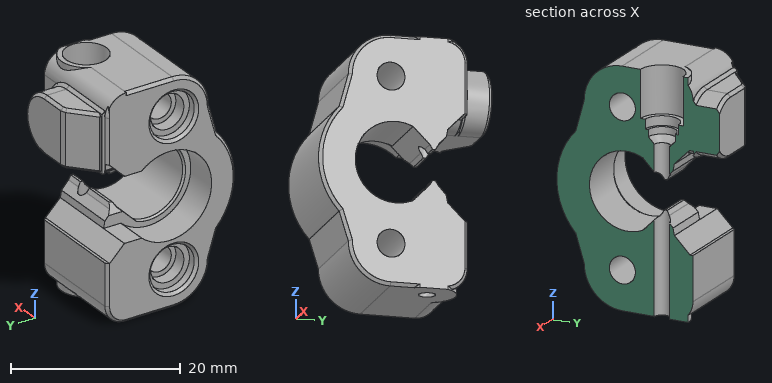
import cadquery as cq
import math

width = 13.8
height = 30.7
left_x = -width / 2
right_x = width / 2
top_z = height / 2
edge_chamfer = 0.4

ring_z = -0.25
ring_radius = 9.4
ring_kink_z = 6.42
bore_radius = 4.97
wide_bore_radius = 5.95
wide_bore_depth = 4.48
step_x = left_x + wide_bore_depth

mouth_face_y = 8.85
front_corner_radius = 2.75
bolt_y = -0.6
bolt_z = 10.22
rear_corner_radius = top_z - bolt_z

mouth_half_gap = 4.48
mouth_flare_y = 6.35
mouth_rim_y = mouth_face_y - edge_chamfer
mouth_rim_gap = mouth_half_gap + mouth_rim_y - mouth_flare_y

lip_y = 4.67
lip_half_gap = 1.9
lip_tip_half_width = 0.18
lip_shoulder_half_width = 0.52
lip_shoulder_half_gap = 2.45
lip_heel_y = 6.17
lip_heel_half_gap = 3.55
lip_nose_half_gap = 2.98
step_bevel = 0.25

bolt_mouth_diameter = 7.03
bolt_head_diameter = 6.25
bolt_neck_diameter = 4.7
bolt_diameter = 3.4
bolt_head_depth = 1.4
bolt_neck_depth = 3.13

post_x = 3.87
post_y = lip_y
post_radius = 3.5
screw_head_diameter = 5.65
screw_neck_diameter = 4.4
screw_seat_diameter = 3.6
screw_diameter = 2.0
screw_head_depth = 6.15
screw_neck_depth = 7.37
screw_seat_depth = 8.3

lug_y = 12.37
lug_end_x = 1.17
lug_z = 9.15
lug_radius = 4.0
lug_top_x = -2.75
lug_slope_y = 9.15


def x_extrusion(outline, start_x, end_x):
    """Close a YZ outline and extrude it between two X positions."""
    return outline.close().extrude(end_x - start_x).translate((start_x, 0, 0))


def x_cone(radius, y, z, start_x, depth):
    """45 degree cone on the YZ plane that narrows toward +X."""
    return cq.Workplane("YZ", origin=(start_x, 0, 0)).center(y, z).circle(radius).extrude(depth, taper=45)


def x_cylinder(radius, y, z, start_x, end_x):
    return cq.Workplane("YZ", origin=(start_x, 0, 0)).center(y, z).circle(radius).extrude(end_x - start_x)


def z_cylinder(radius, start_z, end_z):
    return cq.Workplane("XY", origin=(post_x, post_y, start_z)).circle(radius).extrude(end_z - start_z)


def make_outline():
    diagonal = math.sqrt(0.5)
    kink_y = -math.sqrt(ring_radius**2 - ring_kink_z**2)
    front_y = mouth_face_y - front_corner_radius
    front_z = top_z - front_corner_radius
    rear_y = bolt_y - rear_corner_radius
    front_mid_y = front_y + front_corner_radius * diagonal
    front_mid_z = front_z + front_corner_radius * diagonal
    rear_mid_y = bolt_y - rear_corner_radius * diagonal
    rear_mid_z = bolt_z + rear_corner_radius * diagonal
    outline = (
        cq.Workplane("YZ")
        .moveTo(mouth_face_y, front_z)
        .threePointArc((front_mid_y, front_mid_z), (front_y, top_z))
        .lineTo(bolt_y, top_z)
        .threePointArc((rear_mid_y, rear_mid_z), (rear_y, bolt_z))
        .lineTo(kink_y, ring_z + ring_kink_z)
        .threePointArc((-ring_radius, ring_z), (kink_y, ring_z - ring_kink_z))
        .lineTo(rear_y, -bolt_z)
        .threePointArc((rear_mid_y, -rear_mid_z), (bolt_y, -top_z))
        .lineTo(front_y, -top_z)
        .threePointArc((front_mid_y, -front_mid_z), (mouth_face_y, -front_z))
    )
    return x_extrusion(outline, left_x, right_x)


def make_body():
    plain = make_outline()
    body = plain.faces("<X or >X").edges().chamfer(edge_chamfer)
    corner_start_y = mouth_face_y - front_corner_radius
    corner = cq.Workplane("XY").box(
        edge_chamfer, mouth_rim_y - corner_start_y, front_corner_radius, centered=False
    ).translate((left_x, corner_start_y, top_z - front_corner_radius))
    body = body.union(plain.intersect(corner))
    post = z_cylinder(post_radius, -top_z, top_z)
    trim = cq.Workplane("XY").box(width, height, height)
    return body.union(post.intersect(trim))


def lug_outline(radius):
    """XZ outline of the lug, with a round +X end of the given radius."""
    return (
        cq.Workplane("XZ")
        .moveTo(left_x, lug_z + radius)
        .lineTo(lug_end_x, lug_z + radius)
        .threePointArc((lug_end_x + radius, lug_z), (lug_end_x, lug_z - radius))
        .lineTo(left_x, lug_z - radius)
        .close()
    )


def make_lug():
    root_y = mouth_face_y - front_corner_radius
    root_x = left_x + edge_chamfer
    slot = lug_outline(lug_radius).extrude(-lug_y)
    slope = (
        cq.Workplane("XY")
        .moveTo(root_x, root_y)
        .lineTo(root_x, lug_slope_y)
        .lineTo(lug_top_x, lug_y)
        .lineTo(right_x, lug_y)
        .lineTo(right_x, root_y)
        .close()
        .extrude(height)
    )
    lug = slot.intersect(slope)
    lug = lug.faces(">>X[1] or >Y or <X").edges().chamfer(edge_chamfer)
    foot = lug_outline(lug_radius + edge_chamfer).extrude(-edge_chamfer, taper=45)
    foot_limit = cq.Workplane("XY").box(width, height, height, centered=False)
    foot_limit = foot_limit.translate((root_x, 0, lug_z - lug_radius))
    return lug.union(foot.translate((0, mouth_face_y, 0)).intersect(foot_limit))


def mirrored_mouth(points):
    """Close a list of (Y, distance from the ring height) points with its mirror image."""
    upper = [(y, ring_z + gap) for y, gap in points]
    lower = [(y, ring_z - gap) for y, gap in reversed(points)]
    return cq.Workplane("YZ").polyline(upper + lower)


def make_lip(side):
    """Build the lip above the mouth (side 1) or below it (side -1)."""
    root_gap = bore_radius
    slope_run = root_gap - lip_shoulder_half_gap
    profile = [
        (lip_y - lip_shoulder_half_width - slope_run, root_gap),
        (lip_y - lip_shoulder_half_width, lip_shoulder_half_gap),
        (lip_y - lip_tip_half_width, lip_half_gap),
        (lip_y + lip_tip_half_width, lip_half_gap),
        (lip_y + lip_shoulder_half_width, lip_shoulder_half_gap),
        (lip_heel_y, lip_heel_half_gap),
        (mouth_flare_y, mouth_half_gap),
        (mouth_flare_y, root_gap),
    ]
    outline = cq.Workplane("YZ").polyline([(y, ring_z + side * gap) for y, gap in profile])
    nose_end_x = step_x + lip_nose_half_gap - lip_half_gap
    nose = (
        cq.Workplane("XZ")
        .polyline([
            (step_x, ring_z),
            (nose_end_x, ring_z),
            (nose_end_x, ring_z + side * lip_half_gap),
            (step_x, ring_z + side * lip_nose_half_gap),
        ])
        .close()
        .extrude(-mouth_face_y)
    )
    return x_extrusion(outline, step_x, right_x).cut(nose)


def make_mouth_cut():
    outside_y = 2 * mouth_face_y
    rim = [(mouth_flare_y, mouth_half_gap), (mouth_rim_y, mouth_rim_gap), (outside_y, mouth_rim_gap)]
    wide = x_extrusion(mirrored_mouth([(0, mouth_half_gap)] + rim), left_x, step_x)
    wide = wide.union(x_cylinder(wide_bore_radius, 0, ring_z, left_x, step_x))

    narrow = x_extrusion(mirrored_mouth([(0, mouth_half_gap)] + rim), step_x, right_x)
    narrow = narrow.union(x_cylinder(bore_radius, 0, ring_z, step_x, right_x))
    for side in (1, -1):
        narrow = narrow.cut(make_lip(side))
    bevel = x_cone(bore_radius + step_bevel, 0, ring_z, step_x, step_bevel)
    for side in (1, -1):
        bevel = bevel.cut(make_lip(side))
    return wide.union(narrow).union(bevel)


def cut_bolt_hole(solid, z):
    head_end = left_x + bolt_head_depth
    neck_end = left_x + bolt_neck_depth
    solid = solid.cut(x_cylinder(bolt_diameter / 2, bolt_y, z, left_x, right_x))
    solid = solid.cut(x_cylinder(bolt_neck_diameter / 2, bolt_y, z, left_x, neck_end))
    solid = solid.cut(x_cylinder(bolt_head_diameter / 2, bolt_y, z, left_x, head_end))
    lead_in_depth = (bolt_mouth_diameter - bolt_head_diameter) / 2
    return solid.cut(x_cone(bolt_mouth_diameter / 2, bolt_y, z, left_x, lead_in_depth))


def cut_screw_hole(solid):
    """Cut the stepped hole from the top, ending in a cone down to the through hole."""
    for diameter, depth in (
        (screw_diameter, height),
        (screw_seat_diameter, screw_seat_depth),
        (screw_neck_diameter, screw_neck_depth),
        (screw_head_diameter, screw_head_depth),
    ):
        solid = solid.cut(z_cylinder(diameter / 2, top_z - depth, top_z))
    cone_depth = (screw_seat_diameter - screw_diameter) / 2
    cone = (
        cq.Workplane("XY", origin=(post_x, post_y, top_z - screw_seat_depth))
        .circle(screw_seat_diameter / 2)
        .extrude(-cone_depth, taper=45)
    )
    return solid.cut(cone)


result = make_body().cut(make_mouth_cut()).union(make_lug())
for hole_z in (bolt_z, -bolt_z):
    result = cut_bolt_hole(result, hole_z)
result = cut_screw_hole(result).solids()